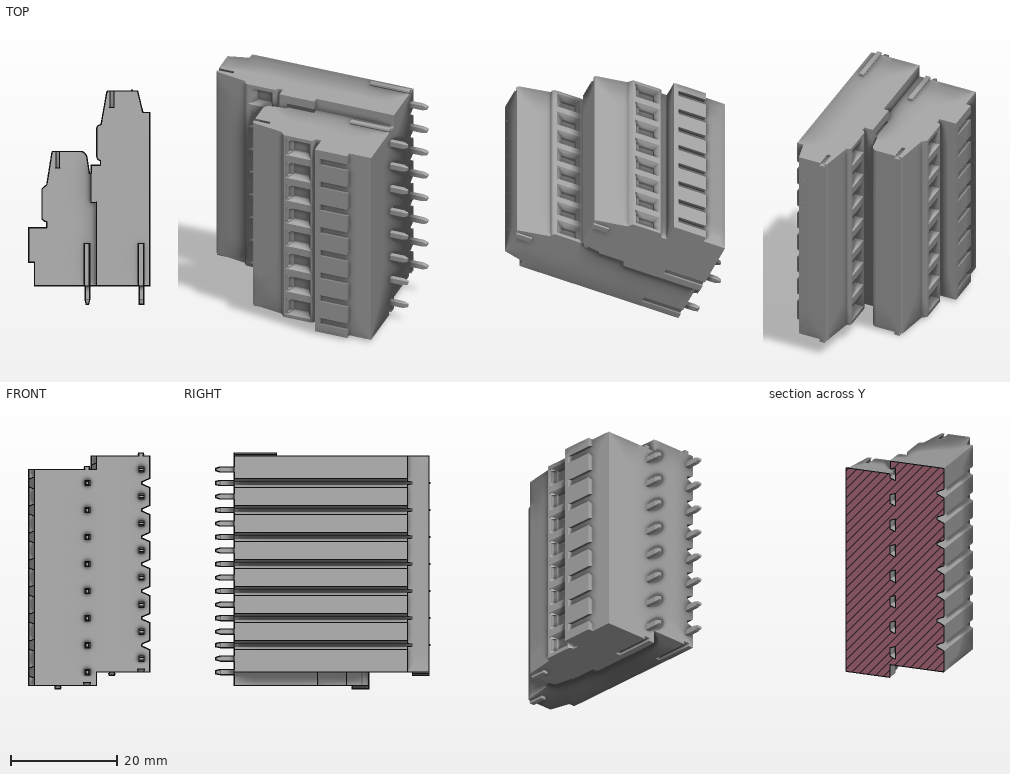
import cadquery as cq

POLES = 8
PITCH = 5.08
ROW_STEP = PITCH / 2
ROW_SPACING = 10.16
ROW_LENGTH = POLES * PITCH

PAD_DEPTH = 1.06
REAR_PAD_X = 11.74
REAR_WALL_X = REAR_PAD_X + PAD_DEPTH
BACK_X = 22.8

FRONT_TOP_Y = 25.3
REAR_TOP_Y = 36.65
FRONT_PAD_Y = (4.4, 10.95)
REAR_PAD_Y = (15.7, 22.7)

FRONT_FACE_X = 2.5
REAR_FACE_X = REAR_WALL_X

SLOT_LENGTH = 5.6
FRONT_SLOT_MOUTH = 1.42
REAR_SLOT_MOUTH = 1.65
SLOT_UNDERCUT = 0.8

OPENING_HEIGHT = 3.6
OPENING_FLOOR_HEIGHT = 2.6
TAPER_DEPTH = 1.05
FLOOR_STEP = 0.45
LEDGE_DEPTH = 0.4
LEDGE_LENGTH = 0.4
LANDING_DEPTH = 0.95
FRONT_OPENING_Y = (12.8, 17.45)
FRONT_OPENING_FLOOR_Y = (13.5, 16.6)
REAR_OPENING_Y = (24.5, 29.4)
REAR_OPENING_FLOOR_Y = (25.1, 28.0)

PIN_WIDTH = 0.9
PIN_HEIGHT = 1.0
PIN_LENGTH = 3.5
PIN_TIP_LENGTH = 0.9
PIN_TIP_NARROW = 0.45
FRONT_PIN_TIP_HEIGHT = 0.65
FRONT_PIN_X = 11.06
REAR_PIN_X = FRONT_PIN_X + ROW_SPACING

JOINT_HEIGHT = 0.6
TONGUE_BEVEL = 0.1
JOINT_CLEARANCE = 0.3
PIN_JOINT_X = 10.97
PIN_JOINT_LENGTH = 8.0
PIN_JOINT_ROOT = 0.75
PIN_JOINT_WIDEST = 1.05
WIRE_JOINT_X = 5.5
WIRE_JOINT_LENGTH = 3.15
WIRE_JOINT_ROOT = 0.7
WIRE_JOINT_WIDEST = 1.2

NOTCH_DEPTH = 1.5
NOTCH_MOUTH = 1.7
NOTCH_FLOOR = 0.4

NUB_X = 19.45
NUB_SIZE = 0.2
NUB_HEIGHT = 0.15


def pole_heights(base_z):
    """Z of each pole centre in a row that starts at base_z."""
    return [base_z + PITCH * (pole + 0.5) for pole in range(POLES)]


FRONT_POLES = pole_heights(0)
REAR_POLES = pole_heights(ROW_STEP)
BETWEEN_REAR_POLES = [z + PITCH / 2 for z in REAR_POLES[:-1]]


def front_row():
    neck_x = 3.4
    shoulder_y = 21.15
    return (
        cq.Workplane("XY")
        .moveTo(PAD_DEPTH, 0)
        .lineTo(PAD_DEPTH, FRONT_PAD_Y[0])
        .lineTo(0, FRONT_PAD_Y[0])
        .lineTo(0, FRONT_PAD_Y[1])
        .lineTo(neck_x, FRONT_PAD_Y[1])
        .lineTo(neck_x, 12.05)
        .threePointArc((2.85, 12.25), (FRONT_FACE_X, 12.7))
        .lineTo(FRONT_FACE_X, 18.2)
        .threePointArc((2.95, 18.65), (3.4, 19.0))
        .lineTo(4.35, 24.95)
        .threePointArc((4.47, 25.2), (4.7, FRONT_TOP_Y))
        .lineTo(9.9, FRONT_TOP_Y)
        .threePointArc((10.65, 24.85), (11.0, 24.0))
        .lineTo(11.45, shoulder_y)
        .lineTo(REAR_PAD_X, shoulder_y)
        .lineTo(REAR_PAD_X, REAR_PAD_Y[0])
        .lineTo(REAR_WALL_X, REAR_PAD_Y[0])
        .lineTo(REAR_WALL_X, 0)
        .close()
        .extrude(ROW_LENGTH)
    )


def rear_row():
    neck_x = 13.5
    shoulder_y = 32.6
    return (
        cq.Workplane("XY", origin=(0, 0, ROW_STEP))
        .moveTo(REAR_WALL_X, 0)
        .lineTo(REAR_WALL_X, REAR_PAD_Y[0])
        .lineTo(REAR_PAD_X, REAR_PAD_Y[0])
        .lineTo(REAR_PAD_X, REAR_PAD_Y[1])
        .lineTo(neck_x, REAR_PAD_Y[1])
        .lineTo(neck_x, 23.55)
        .threePointArc((13.0, 23.85), (REAR_FACE_X, 24.4))
        .lineTo(REAR_FACE_X, 29.6)
        .threePointArc((13.05, 30.1), (13.6, 30.3))
        .lineTo(14.65, 36.25)
        .lineTo(14.85, REAR_TOP_Y)
        .lineTo(20.5, REAR_TOP_Y)
        .lineTo(21.5, shoulder_y)
        .lineTo(BACK_X, shoulder_y)
        .lineTo(BACK_X, 0)
        .close()
        .extrude(ROW_LENGTH)
    )


def trapezoid_bar(plane, near_width, far_width, height, length):
    """Bar whose section widens or narrows from near_width to far_width along local Y."""
    return (
        cq.Workplane(plane)
        .polyline([
            (-near_width / 2, 0),
            (near_width / 2, 0),
            (far_width / 2, height),
            (-far_width / 2, height),
        ])
        .close()
        .extrude(length)
    )


def label_slot(pad_x, start_y, z, mouth):
    """Dovetail slot cut in +X from the pad face, running along +Y."""
    plane = cq.Plane(origin=(pad_x, start_y, z), xDir=(0, 0, 1), normal=(0, 1, 0))
    return trapezoid_bar(plane, mouth, mouth + SLOT_UNDERCUT, PAD_DEPTH, SLOT_LENGTH)


def wire_opening(face_x, mouth_y, floor_y, z):
    """Tapered pocket sunk in +X from the face, with its own extent along Y at each end."""
    mouth_centre = sum(mouth_y) / 2
    floor_shift = sum(floor_y) / 2 - mouth_centre
    plane = cq.Plane(origin=(face_x, mouth_centre, z), xDir=(0, 1, 0), normal=(1, 0, 0))
    floor_length = floor_y[1] - floor_y[0]
    taper = (
        cq.Workplane(plane)
        .rect(mouth_y[1] - mouth_y[0], OPENING_HEIGHT)
        .workplane(offset=TAPER_DEPTH)
        .center(floor_shift, 0)
        .rect(floor_length, OPENING_FLOOR_HEIGHT)
        .loft(ruled=True)
    )
    well = (
        cq.Workplane(plane)
        .center(floor_shift, 0)
        .rect(floor_length, OPENING_FLOOR_HEIGHT)
        .extrude(TAPER_DEPTH + FLOOR_STEP)
    )
    return taper.union(well)


def face_recess(depth, start_y, length, height, z):
    """Box sunk in +X from the front row's face, running along +Y from start_y."""
    return (
        cq.Workplane("XY", origin=(FRONT_FACE_X, start_y, z))
        .box(depth, length, height, centered=(False, False, True))
    )


def opening_steps(z):
    """Ledge and landing that step down to a front opening's floor from its wire end."""
    ledge_y = FRONT_OPENING_Y[1]
    landing_y = FRONT_OPENING_FLOOR_Y[1]
    ledge = face_recess(LEDGE_DEPTH, ledge_y, LEDGE_LENGTH, OPENING_HEIGHT, z)
    landing = face_recess(LANDING_DEPTH, landing_y, ledge_y - landing_y, OPENING_FLOOR_HEIGHT, z)
    return ledge.union(landing)


def pin(x, z, tip_width, tip_height):
    """Rectangular pin along -Y, rooted at Y = 0, with a tapered tip."""
    shank_length = PIN_LENGTH - PIN_TIP_LENGTH
    shank = cq.Workplane("XZ", origin=(x, 0, z)).rect(PIN_WIDTH, PIN_HEIGHT).extrude(shank_length)
    tip = (
        shank.faces("<Y")
        .workplane()
        .rect(PIN_WIDTH, PIN_HEIGHT)
        .workplane(offset=PIN_TIP_LENGTH)
        .rect(tip_width, tip_height)
        .loft(combine=False, ruled=True)
    )
    return shank.union(tip)


def joint_plane(x, y, z, direction):
    """Section plane of a joint; its local Y points towards direction (+1 up, -1 down)."""
    return cq.Plane(origin=(x, y, z), xDir=(-direction, 0, 0), normal=(0, 1, 0))


def tongue(plane, root, widest, length):
    """Dovetail tongue that widens over its inner half and is bevelled over its outer half."""
    crest = widest - 2 * TONGUE_BEVEL
    return (
        cq.Workplane(plane)
        .polyline([
            (-root / 2, 0),
            (root / 2, 0),
            (widest / 2, JOINT_HEIGHT / 2),
            (crest / 2, JOINT_HEIGHT),
            (-crest / 2, JOINT_HEIGHT),
            (-widest / 2, JOINT_HEIGHT / 2),
        ])
        .close()
        .extrude(length)
    )


def groove(plane, mouth, floor, length):
    return trapezoid_bar(plane, mouth, floor, JOINT_HEIGHT, length)


def add_row_joints(body, row_x, base_z, top_y):
    """Pin-end tongue above and groove below; wire-end groove above and tongue below."""
    top_z = base_z + ROW_LENGTH
    pin_x = PIN_JOINT_X + row_x
    wire_x = WIRE_JOINT_X + row_x
    wire_y = top_y - WIRE_JOINT_LENGTH
    pin_groove = groove(joint_plane(pin_x, 0, base_z, 1), PIN_JOINT_ROOT + JOINT_CLEARANCE,
                        PIN_JOINT_WIDEST + JOINT_CLEARANCE, PIN_JOINT_LENGTH)
    wire_groove = groove(joint_plane(wire_x, wire_y, top_z, -1), WIRE_JOINT_ROOT,
                         WIRE_JOINT_WIDEST, WIRE_JOINT_LENGTH)
    pin_tongue = tongue(joint_plane(pin_x, 0, top_z, 1), PIN_JOINT_ROOT,
                        PIN_JOINT_WIDEST, PIN_JOINT_LENGTH)
    wire_tongue = tongue(joint_plane(wire_x, wire_y, base_z, -1), WIRE_JOINT_ROOT,
                         WIRE_JOINT_WIDEST, WIRE_JOINT_LENGTH)
    return body.cut(pin_groove).cut(wire_groove).union(pin_tongue).union(wire_tongue)


def back_notch(z):
    """V-groove with a narrow floor, running the full Y length of the back."""
    plane = cq.Plane(origin=(BACK_X, 0, z), xDir=(0, 0, -1), normal=(0, 1, 0))
    return trapezoid_bar(plane, NOTCH_MOUTH, NOTCH_FLOOR, NOTCH_DEPTH, REAR_TOP_Y)


def marker_nub(z):
    return cq.Workplane("XY").box(NUB_SIZE, 2 * NUB_HEIGHT, NUB_SIZE).translate((NUB_X, REAR_TOP_Y, z))


rear = rear_row()
for z in REAR_POLES:
    rear = rear.cut(label_slot(REAR_PAD_X, REAR_PAD_Y[0], z, REAR_SLOT_MOUTH))
    rear = rear.cut(wire_opening(REAR_FACE_X, REAR_OPENING_Y, REAR_OPENING_FLOOR_Y, z))
    rear = rear.union(pin(REAR_PIN_X, z, PIN_WIDTH, PIN_TIP_NARROW))
for z in BETWEEN_REAR_POLES:
    rear = rear.cut(back_notch(z)).union(marker_nub(z))
rear = add_row_joints(rear, ROW_SPACING, ROW_STEP, REAR_TOP_Y)

front = front_row()
for z in FRONT_POLES:
    front = front.cut(label_slot(0, FRONT_PAD_Y[0], z, FRONT_SLOT_MOUTH))
    front = front.cut(wire_opening(FRONT_FACE_X, FRONT_OPENING_Y, FRONT_OPENING_FLOOR_Y, z))
    front = front.cut(opening_steps(z))
    front = front.union(pin(FRONT_PIN_X, z, PIN_TIP_NARROW, FRONT_PIN_TIP_HEIGHT))
front = add_row_joints(front, 0, 0, FRONT_TOP_Y)

result = front.union(rear)